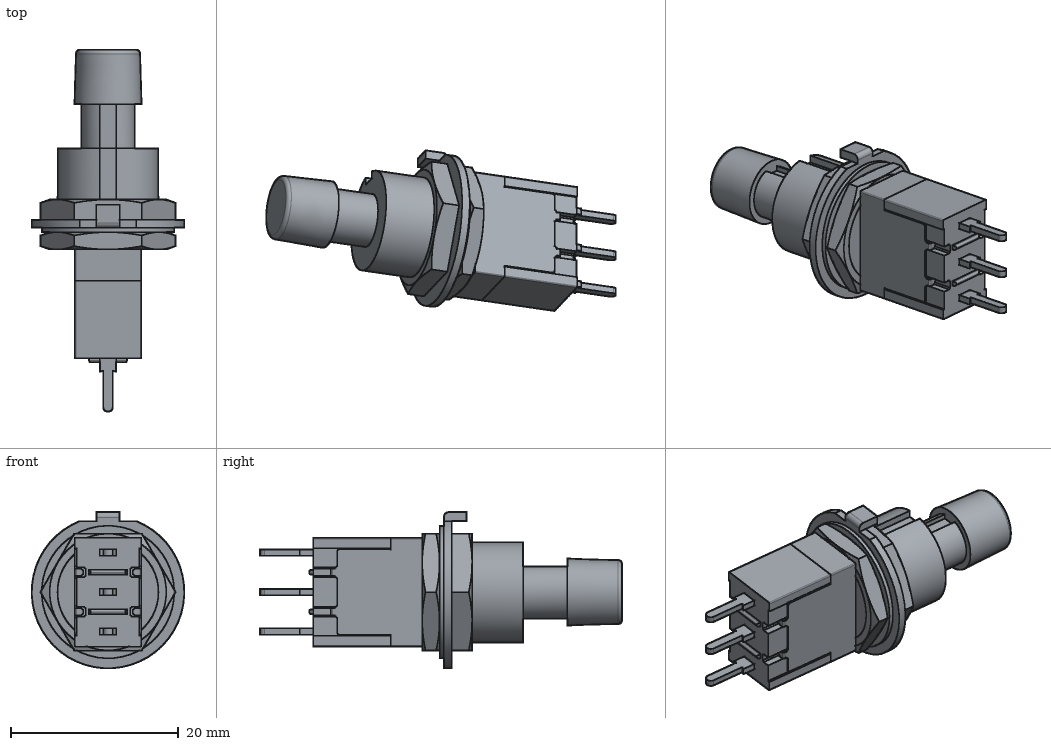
import cadquery as cq
import math


BUSHING_DIAMETER = 12.05
BUSHING_LENGTH = 12.05
PLUNGER_DIAMETER = 6.4
PLUNGER_LENGTH = 5.25
KEYWAY_WIDTH = 1.95
BUSHING_KEYWAY_FLOOR = 10.1 / 2
PLUNGER_KEYWAY_FLOOR = 2.4

CAP_LENGTH = 6.5
CAP_REAR_DIAMETER = 8.02
CAP_FRONT_DIAMETER = 7.65
CAP_FILLET = 0.5

NUT_ACROSS_FLATS = 13.95
NUT_CHAMFER_DIAMETER = 13.9
NUT_CHAMFER_ANGLE = 20.0
REAR_NUT_THICKNESS = 2.05
FRONT_NUT_THICKNESS = 2.4
LOCK_WASHER_DIAMETER = 15.8
LOCK_WASHER_THICKNESS = 0.5
TAB_WASHER_DIAMETER = 18.2
TAB_WASHER_THICKNESS = 0.95
TAB_WIDTH = 2.75
TAB_TOP_HEIGHT = 9.55
TAB_THICKNESS = 1.08
TAB_WASHER_FLAT_HEIGHT = TAB_TOP_HEIGHT - TAB_THICKNESS
TAB_LENGTH = 2.7
TAB_BEND_RADIUS = 0.6

LOCK_WASHER_Y = REAR_NUT_THICKNESS
TAB_WASHER_Y = LOCK_WASHER_Y + LOCK_WASHER_THICKNESS
FRONT_NUT_Y = TAB_WASHER_Y + TAB_WASHER_THICKNESS

CASE_WIDTH = 7.95
CASE_HEIGHT = 13.0
CASE_LENGTH = 13.0
CASE_EDGE_FILLET = 0.15
FRAME_BLOCK_LENGTH = 3.75
PLATE_THICKNESS = 0.25
PLATE_HEIGHT = 10.2
PLATE_END = 10.15
PLATE_CORNER = 0.3
RECESS_HEIGHT = 10.45
SIDES = (-1, 1)
RECESS_FLOOR_X = CASE_WIDTH / 2 - PLATE_THICKNESS

TERMINAL_PITCH = 4.7
GAP_HEIGHTS = (-TERMINAL_PITCH / 2, TERMINAL_PITCH / 2)
PRONG_WIDTH = 0.85
PRONG_END = 10.9
PRONG_REACH = 1.05
PRONG_BEND_RADIUS = 0.2
PRONG_CHAMFER = 0.25
NOTCH_WIDTH = 1.15
NOTCH_START = PLATE_END + PLATE_CORNER
NOTCH_DEPTH = 1.3
NOTCH_CHAMFER = 0.17

RIB_WIDTH = 4.55
RIB_THICKNESS = 0.55
RIB_HEIGHT = 0.47
RIB_FILLET = 0.25

TERMINAL_DEPTH = 2.15
TERMINAL_HEIGHTS = (-TERMINAL_PITCH, 0, TERMINAL_PITCH)
TERMINAL_THICKNESS = 0.78
TERMINAL_ROOT_WIDTH = 1.95
TERMINAL_ROOT_LENGTH = 1.6
TERMINAL_SHOULDER_UNDERCUT = 0.15
TERMINAL_BLADE_WIDTH = 1.15
TERMINAL_LENGTH = 6.35
TERMINAL_TIP_HEIGHT = 0.5


def cylinder(diameter, y_start, length):
    """A cylinder on the Y axis that runs from y_start toward +Y."""
    return cq.Workplane("XZ", origin=(0, y_start, 0)).circle(diameter / 2).extrude(-length)


def block(x_range, y_range, z_range):
    """A box between the given limits."""
    corner = (x_range[0], y_range[0], z_range[0])
    sizes = [high - low for low, high in (x_range, y_range, z_range)]
    return cq.Workplane("XY").box(*sizes, centered=False).translate(corner)


def make_keyway(diameter, floor_height, y_start, length):
    """The cutter of a keyway along the top of a cylinder."""
    half = KEYWAY_WIDTH / 2
    return block((-half, half), (y_start, y_start + length), (floor_height, diameter))


def make_case_block(y_start, y_end):
    """A length of the rectangular case, with its four long edges rounded."""
    half_width = CASE_WIDTH / 2
    half_height = CASE_HEIGHT / 2
    case = block((-half_width, half_width), (y_start, y_end), (-half_height, half_height))
    return case.edges("|Y").fillet(CASE_EDGE_FILLET)


def inner_edges(side):
    """Selects the edges nearest the middle of the part, on the given side of it."""
    return "<X" if side > 0 else ">X"


def outer_edges(side):
    """Selects the edges farthest from the middle of the part, on the given side of it."""
    return ">X" if side > 0 else "<X"


def make_side_plate(side):
    """A flat side plate of the frame, with two prongs folded into the base."""
    half = PLATE_HEIGHT / 2
    x_range = sorted((side * RECESS_FLOOR_X, side * CASE_WIDTH / 2))
    plate = block(x_range, (-PLATE_END, -FRAME_BLOCK_LENGTH), (-half, half))
    plate = plate.edges("|X and <Y").fillet(PLATE_CORNER)
    for height in GAP_HEIGHTS:
        plate = plate.union(make_prong(side, height))
    return plate


def make_prong(side, height):
    """An L-shaped prong with flared roots and a chamfered inner end."""
    outer_x = side * CASE_WIDTH / 2
    inner_x = side * (CASE_WIDTH / 2 - PRONG_REACH)
    plate_x = side * RECESS_FLOOR_X
    leg_y = -PRONG_END + PLATE_THICKNESS
    half = PRONG_WIDTH / 2
    leg = block(sorted((inner_x, outer_x)), (-PRONG_END, leg_y), (height - half, height + half))
    leg = leg.edges("|Y").edges(inner_edges(side)).chamfer(PRONG_CHAMFER)
    leg = leg.edges("|Z and <Y").edges(outer_edges(side)).fillet(PRONG_BEND_RADIUS)
    flare_y = -PLATE_END - PLATE_CORNER
    root = (
        cq.Workplane("YZ", origin=(plate_x, 0, height))
        .moveTo(-PLATE_END, -half - PLATE_CORNER)
        .lineTo(flare_y, -half)
        .lineTo(leg_y, -half)
        .lineTo(leg_y, half)
        .lineTo(flare_y, half)
        .lineTo(-PLATE_END, half + PLATE_CORNER)
        .close()
        .extrude(side * PLATE_THICKNESS)
    )
    return root.union(leg)


def make_housing():
    """The round bushing with its keyway, and the frame, in one piece."""
    bushing = cylinder(BUSHING_DIAMETER, 0, BUSHING_LENGTH)
    bushing = bushing.cut(make_keyway(BUSHING_DIAMETER, BUSHING_KEYWAY_FLOOR, 0, BUSHING_LENGTH))
    frame = make_case_block(-FRAME_BLOCK_LENGTH, 0)
    for side in SIDES:
        frame = frame.union(make_side_plate(side))
    return bushing.union(frame)


def make_button():
    """A slotted plunger with a tapered cap that has a rounded front edge."""
    plunger = cylinder(PLUNGER_DIAMETER, BUSHING_LENGTH, PLUNGER_LENGTH)
    plunger = plunger.cut(make_keyway(PLUNGER_DIAMETER, PLUNGER_KEYWAY_FLOOR, BUSHING_LENGTH, PLUNGER_LENGTH))
    cap = (
        cq.Workplane("XY", origin=(0, BUSHING_LENGTH + PLUNGER_LENGTH, 0))
        .lineTo(CAP_REAR_DIAMETER / 2, 0)
        .lineTo(CAP_FRONT_DIAMETER / 2, CAP_LENGTH)
        .lineTo(0, CAP_LENGTH)
        .close()
        .revolve(360, (0, 0, 0), (0, 1, 0))
        .faces(">Y")
        .edges()
        .fillet(CAP_FILLET)
    )
    return plunger.union(cap)


def make_nut(y_start, thickness, rear_chamfer):
    """A hexagon nut with conical chamfers on its front face and, optionally, on its rear face."""
    corner_radius = NUT_ACROSS_FLATS / 2 / math.cos(math.pi / 6)
    face_radius = NUT_CHAMFER_DIAMETER / 2
    drop = (corner_radius - face_radius) * math.tan(math.radians(NUT_CHAMFER_ANGLE))
    rear_radius = face_radius if rear_chamfer else corner_radius
    profile = cq.Workplane("XY", origin=(0, y_start, 0)).lineTo(rear_radius, 0)
    if rear_chamfer:
        profile = profile.lineTo(corner_radius, drop)
    turned_blank = (
        profile.lineTo(corner_radius, thickness - drop)
        .lineTo(face_radius, thickness)
        .lineTo(0, thickness)
        .close()
        .revolve(360, (0, 0, 0), (0, 1, 0))
    )
    hexagon = cq.Workplane("XZ", origin=(0, y_start, 0)).polygon(6, 2 * corner_radius).extrude(-thickness)
    return hexagon.intersect(turned_blank).cut(cylinder(BUSHING_DIAMETER, y_start, thickness))


def make_lock_washer():
    """A plain ring."""
    ring = cylinder(LOCK_WASHER_DIAMETER, LOCK_WASHER_Y, LOCK_WASHER_THICKNESS)
    return ring.cut(cylinder(BUSHING_DIAMETER, LOCK_WASHER_Y, LOCK_WASHER_THICKNESS))


def make_tab_washer():
    """A ring with a flat on top and a tab bent toward +Y."""
    front_y = TAB_WASHER_Y + TAB_WASHER_THICKNESS
    radius = TAB_WASHER_DIAMETER / 2
    disc = cylinder(TAB_WASHER_DIAMETER, TAB_WASHER_Y, TAB_WASHER_THICKNESS)
    below_flat = block((-radius, radius), (TAB_WASHER_Y, front_y), (-radius, TAB_WASHER_FLAT_HEIGHT))
    disc = disc.intersect(below_flat)
    tab = (
        cq.Workplane("YZ", origin=(-TAB_WIDTH / 2, 0, 0))
        .moveTo(TAB_WASHER_Y, BUSHING_DIAMETER / 2)
        .lineTo(TAB_WASHER_Y, TAB_TOP_HEIGHT)
        .lineTo(TAB_WASHER_Y + TAB_LENGTH, TAB_TOP_HEIGHT)
        .lineTo(TAB_WASHER_Y + TAB_LENGTH, TAB_WASHER_FLAT_HEIGHT)
        .lineTo(front_y, TAB_WASHER_FLAT_HEIGHT)
        .lineTo(front_y, BUSHING_DIAMETER / 2)
        .close()
        .extrude(TAB_WIDTH)
        .edges("|X and <Y and >Z")
        .fillet(TAB_BEND_RADIUS)
    )
    return disc.union(tab).cut(cylinder(BUSHING_DIAMETER, TAB_WASHER_Y, TAB_WASHER_THICKNESS))


def make_notch(side, height):
    """The cutter of a chamfered notch in a rear side edge of the base."""
    half = NOTCH_WIDTH / 2
    outer_x = side * CASE_WIDTH / 2
    inner_x = outer_x - side * NOTCH_DEPTH
    notch = block(sorted((inner_x, outer_x)), (-CASE_LENGTH, -NOTCH_START), (height - half, height + half))
    return notch.edges("|Y").edges(inner_edges(side)).chamfer(NOTCH_CHAMFER)


def make_rib(height):
    """A low rib with rounded edges across the rear face of the base."""
    rib = block(
        (-RIB_WIDTH / 2, RIB_WIDTH / 2),
        (-CASE_LENGTH - RIB_HEIGHT, -CASE_LENGTH),
        (height - RIB_THICKNESS / 2, height + RIB_THICKNESS / 2),
    )
    return rib.faces("<Y").edges().fillet(RIB_FILLET)


def make_base():
    """The insulating base between the side plates of the frame."""
    half_width = CASE_WIDTH / 2
    half_recess = RECESS_HEIGHT / 2
    y_range = (-CASE_LENGTH, -FRAME_BLOCK_LENGTH)
    base = make_case_block(*y_range)
    for side in SIDES:
        recess_x = sorted((side * RECESS_FLOOR_X, side * half_width))
        base = base.cut(block(recess_x, y_range, (-half_recess, half_recess)))
        for height in GAP_HEIGHTS:
            base = base.cut(make_notch(side, height))
    for height in GAP_HEIGHTS:
        base = base.union(make_rib(height))
    for height in TERMINAL_HEIGHTS:
        base = base.cut(make_terminal(height))
    return base


def make_terminal(height):
    """A flat terminal with a wide root, undercut shoulders and a blade with a round tip."""
    half_root = TERMINAL_ROOT_WIDTH / 2
    half_blade = TERMINAL_BLADE_WIDTH / 2
    shoulder_y = -CASE_LENGTH - TERMINAL_ROOT_LENGTH
    inner_y = -CASE_LENGTH + TERMINAL_DEPTH
    neck_y = shoulder_y + TERMINAL_SHOULDER_UNDERCUT
    tip_y = -CASE_LENGTH - TERMINAL_LENGTH
    arc_y = tip_y + TERMINAL_TIP_HEIGHT
    return (
        cq.Workplane("XY", origin=(0, 0, height - TERMINAL_THICKNESS / 2))
        .moveTo(-half_root, inner_y)
        .lineTo(-half_root, shoulder_y)
        .lineTo(-half_blade, neck_y)
        .lineTo(-half_blade, arc_y)
        .threePointArc((0, tip_y), (half_blade, arc_y))
        .lineTo(half_blade, neck_y)
        .lineTo(half_root, shoulder_y)
        .lineTo(half_root, inner_y)
        .close()
        .extrude(TERMINAL_THICKNESS)
    )


housing = make_housing()
button = make_button()
rear_nut = make_nut(0, REAR_NUT_THICKNESS, True)
front_nut = make_nut(FRONT_NUT_Y, FRONT_NUT_THICKNESS, False)
lock_washer = make_lock_washer()
tab_washer = make_tab_washer()
base = make_base()
terminals = [make_terminal(height) for height in TERMINAL_HEIGHTS]

bodies = [housing, button, rear_nut, front_nut, lock_washer, tab_washer, base, *terminals]
result = cq.Compound.makeCompound([body.val() for body in bodies])